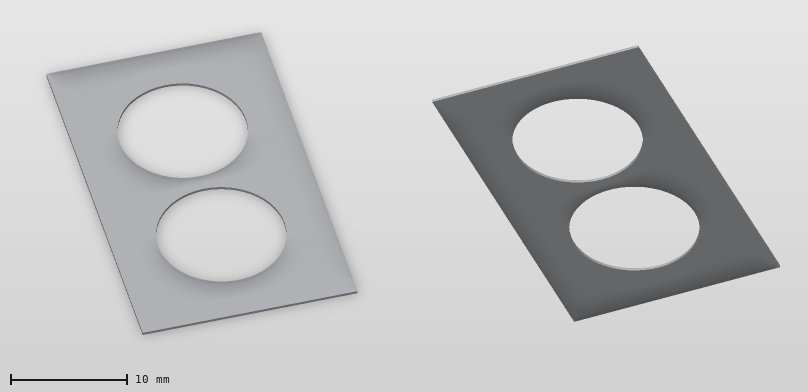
import cadquery as cq

INCH = 25.4

plate_length = 1.25 * INCH
plate_width = 0.75 * INCH
plate_thickness = 0.010 * INCH
hole_diameter = 0.44 * INCH
hole_spacing = 0.5 * INCH


def make_plate():
    """Thin rectangular plate centred on the origin."""
    return cq.Workplane("XY").box(plate_length, plate_width, plate_thickness)


def cut_holes(plate):
    """Cut two round through holes, side by side along X."""
    hole_centers = [(-hole_spacing / 2, 0), (hole_spacing / 2, 0)]
    return plate.faces(">Z").workplane().pushPoints(hole_centers).hole(hole_diameter)


result = cut_holes(make_plate())